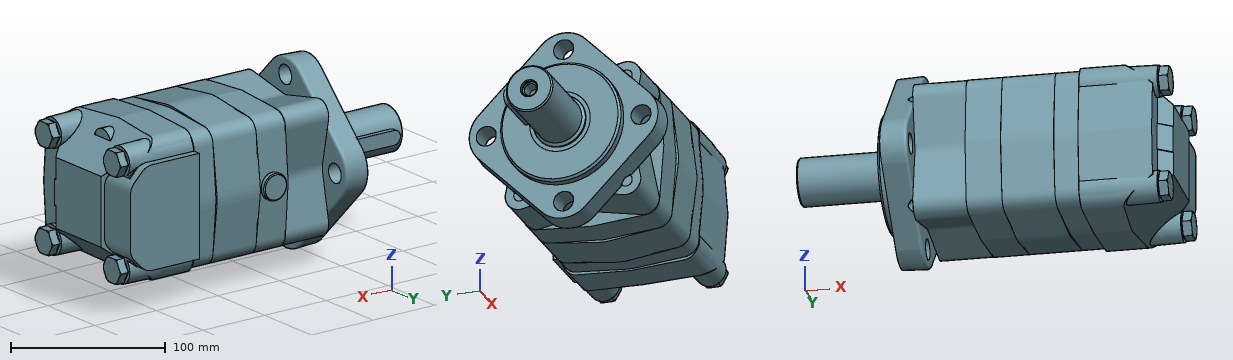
import cadquery as cq
import math

SHAFT_SHOULDER_X = 56.2
COLLAR_X = 57.8
PILOT_X = 59.0
FLANGE_X = 65.8
HOUSING_X = 83.7
HOUSING_STEP_X = 119.0
GEAR_SET_X = 142.7
PLATE_X = 177.8
COVER_X = 193.7
COVER_SLOPE_X = 218.7
COVER_SIDE_END_X = 242.4
BOSS_END_X = 245.5
COVER_END_X = 251.5
MOTOR_END_X = 252.2

BOLT_OFFSET = 36.5
BOLT_DIA = 8.3
CORNER_RADIUS = 10.3
HOUSING_CORNER_RADIUS = 10.0

HOUSING_VALLEY_TILT = -11.5
HOUSING_RIDGE_TILT = 4.4
GEAR_SET_TILT = 7.2
PLATE_TILT = 5.0
VALLEY_BLEND = 2.8
RIDGE_BLEND = 4.8

FLANGE_DIAGONAL = 131.5
FLANGE_TIP_RADIUS = 22.0
FLANGE_DRAFT = 2.5
FLANGE_EDGE_ROUND = 2.0
FLANGE_HOLE_DIA = 13.5
FLANGE_HOLE_RADIUS = 53.2
PILOT_DIA = 82.7
PILOT_CHAMFER = 1.5
DRILL_POINT_X = 78.2
DRILL_SHOULDER_X = 81.2

DRAIN_DIA = 18.7
DRAIN_X = 131.5
DRAIN_TOP = 53.0
DRAIN_CHAMFER = 0.8

SHAFT_DIA = 32.0
SHAFT_CHAMFER = 1.0
COLLAR_DIA = 35.8
JOURNAL_DIA = 41.5
CENTER_HOLE_DIA = 8.3
CENTER_MOUTH_DIA = 11.9
CENTER_SINK_DIA = 10.5
CENTER_MOUTH_DEPTH = 0.8
CENTER_SINK_DEPTH = 2.5
CENTER_HOLE_DEPTH = 12.5
DRILL_POINT_ANGLE = 118.0
KEY_WIDTH = 10.0
KEY_START_X = 4.8
KEY_LENGTH = 45.0
KEY_BOTTOM = 11.0
KEY_TOP = 19.2

COVER_TOP = 51.2
COVER_SIDE = 49.5
COVER_CORNER_Y = 45.6
COVER_CORNER_Z = 48.5
COVER_ROUND = 10.0
COVER_END_HALF = 24.2
COVER_SLOPE = (COVER_TOP - COVER_END_HALF) / (COVER_END_X - COVER_SLOPE_X)
BOSS_DIA = 22.0
BOSS_END_DIA = 21.0
PORT_FACE_Y = 53.2
PORT_HALF_WIDTH = 36.0
PORT_CORNER_X = 236.8
PORT_END_X = 249.7
PORT_END_HALF = PORT_HALF_WIDTH - (PORT_END_X - PORT_CORNER_X)
PORT_ROUND = 12.5

BUMP_DIA = 18.0
BUMP_END_X = 232.0
BUMP_AXIS_Z = 37.3
RIB_WIDTH = BUMP_DIA
RIB_HEIGHT = 1.3

HEAD_FLATS = 17.0
HEAD_START_X = 246.0
BOLT_COLLAR_DIA = 16.0
HEAD_CHAMFER = 0.8

BOLT_CENTERS = [(y * BOLT_OFFSET, z * BOLT_OFFSET) for y in (-1, 1) for z in (-1, 1)]


def across(x):
    """Sketch plane square to the axis at x: sketch x is Y, sketch y is Z."""
    return cq.Workplane("YZ", origin=(x, 0, 0))


def cylinder(start_x, end_x, diameter):
    return across(start_x).circle(diameter / 2).extrude(end_x - start_x)


def turned(points):
    """Solid of revolution about the X axis from (x, radius) points."""
    return cq.Workplane("XY").polyline(points).close().revolve(360, (0, 0, 0), (1, 0, 0))


def quarter_turns(point, turns):
    y, z = point
    for _ in range(turns):
        y, z = -z, y
    return y, z


def body_block(start_x, end_x, tilt, blend, corner_radius=CORNER_RADIUS):
    """Square block with round corners whose four sides rise to a ridge or sink to a valley."""
    angle = math.radians(tilt)
    tangent = (
        BOLT_OFFSET + corner_radius * math.sin(angle),
        BOLT_OFFSET + corner_radius * math.cos(angle),
    )
    apex = tangent[1] + tangent[0] * math.tan(angle)
    blend_z = apex - blend * math.tan(angle)
    blend_mid = blend_z + blend * math.tan(angle / 2)
    corner_mid = BOLT_OFFSET + corner_radius / math.sqrt(2)

    outline = across(start_x).moveTo(*tangent)
    for side in range(4):
        if blend:
            outline = outline.lineTo(*quarter_turns((blend, blend_z), side))
            outline = outline.threePointArc(
                quarter_turns((0, blend_mid), side), quarter_turns((-blend, blend_z), side)
            )
        else:
            outline = outline.lineTo(*quarter_turns((0, apex), side))
        outline = outline.lineTo(*quarter_turns((-tangent[0], tangent[1]), side))
        outline = outline.threePointArc(
            quarter_turns((-corner_mid, corner_mid), side), quarter_turns(tangent, side + 1)
        )
    return outline.close().extrude(end_x - start_x)


def bolt_holes(start_x, end_x):
    return across(start_x).pushPoints(BOLT_CENTERS).circle(BOLT_DIA / 2).extrude(end_x - start_x)


def mounting_flange():
    """Drafted diamond plate with round tips, built forward from its rear face."""
    tip_center = FLANGE_DIAGONAL / 2 - FLANGE_TIP_RADIUS
    half_side = tip_center / math.sqrt(2) + FLANGE_TIP_RADIUS
    plate = (
        across(HOUSING_X)
        .transformed(rotate=(0, 0, 45))
        .sketch()
        .rect(2 * half_side, 2 * half_side)
        .vertices()
        .fillet(FLANGE_TIP_RADIUS)
        .finalize()
        .extrude(FLANGE_X - HOUSING_X, taper=FLANGE_DRAFT)
    )
    plate = plate.faces(">X").edges().fillet(FLANGE_EDGE_ROUND)
    holes = (
        across(FLANGE_X)
        .polarArray(FLANGE_HOLE_RADIUS, 0, 360, 4)
        .circle(FLANGE_HOLE_DIA / 2)
        .extrude(HOUSING_X - FLANGE_X)
    )
    return plate.cut(holes)


def drill_points():
    """Pointed ends of the bolt holes, which break out through the flange edges."""
    radius = BOLT_DIA / 2
    point = turned(
        [(DRILL_POINT_X, 0), (DRILL_SHOULDER_X, radius), (HOUSING_X, radius), (HOUSING_X, 0)]
    )
    points = cq.Workplane("XY")
    for y, z in BOLT_CENTERS:
        points = points.add(point.translate((0, y, z)))
    return points.combine()


def drain_boss():
    boss = (
        cq.Workplane("XZ", origin=(DRAIN_X, 0, 0))
        .workplane(offset=-DRAIN_TOP)
        .circle(DRAIN_DIA / 2)
        .extrude(DRAIN_TOP - BOLT_OFFSET)
    )
    return boss.faces(">Y").chamfer(DRAIN_CHAMFER)


def make_housing():
    pilot = cylinder(PILOT_X, FLANGE_X, PILOT_DIA).faces("<X").chamfer(PILOT_CHAMFER)
    neck = body_block(
        HOUSING_X, HOUSING_STEP_X, HOUSING_VALLEY_TILT, VALLEY_BLEND, HOUSING_CORNER_RADIUS
    )
    housing = (
        mounting_flange()
        .union(pilot)
        .union(neck)
        .union(body_block(HOUSING_STEP_X, GEAR_SET_X, HOUSING_RIDGE_TILT, 0))
        .union(drain_boss())
    )
    journal_bore = cylinder(PILOT_X, HOUSING_X, JOURNAL_DIA)
    return housing.cut(journal_bore).cut(drill_points()).cut(bolt_holes(HOUSING_X, GEAR_SET_X))


def make_key():
    return (
        cq.Workplane("XZ", origin=(KEY_START_X + KEY_LENGTH / 2, KEY_BOTTOM, 0))
        .slot2D(KEY_LENGTH, KEY_WIDTH)
        .extrude(KEY_BOTTOM - KEY_TOP)
    )


def make_shaft(key):
    radius = SHAFT_DIA / 2
    shaft = turned(
        [
            (0, 0),
            (0, radius - SHAFT_CHAMFER),
            (SHAFT_CHAMFER, radius),
            (SHAFT_SHOULDER_X, radius),
            (COLLAR_X, COLLAR_DIA / 2),
            (PILOT_X, COLLAR_DIA / 2),
            (PILOT_X, JOURNAL_DIA / 2),
            (HOUSING_X, JOURNAL_DIA / 2),
            (HOUSING_X, 0),
        ]
    )
    hole_radius = CENTER_HOLE_DIA / 2
    point_length = hole_radius / math.tan(math.radians(DRILL_POINT_ANGLE / 2))
    center_hole = turned(
        [
            (0, 0),
            (0, CENTER_MOUTH_DIA / 2),
            (CENTER_MOUTH_DEPTH, CENTER_SINK_DIA / 2),
            (CENTER_SINK_DEPTH, CENTER_SINK_DIA / 2),
            (CENTER_SINK_DEPTH, hole_radius),
            (CENTER_HOLE_DEPTH, hole_radius),
            (CENTER_HOLE_DEPTH + point_length, 0),
        ]
    )
    return shaft.cut(center_hole).cut(key)


def make_gear_set():
    block = body_block(GEAR_SET_X, PLATE_X, GEAR_SET_TILT, RIDGE_BLEND)
    return block.cut(bolt_holes(GEAR_SET_X, PLATE_X))


def make_plate():
    block = body_block(PLATE_X, COVER_X, PLATE_TILT, RIDGE_BLEND)
    return block.cut(bolt_holes(PLATE_X, COVER_X))


def side_slope(start_x, height, half_width):
    """Band of the given height lying on the slope of the -Y side, from start_x to the end."""
    start_y = COVER_END_HALF + COVER_SLOPE * (COVER_END_X - start_x)
    return (
        cq.Workplane("XY")
        .polyline(
            [
                (start_x, -start_y),
                (COVER_END_X, -COVER_END_HALF),
                (COVER_END_X, -COVER_END_HALF - height),
                (start_x, -start_y - height),
            ]
        )
        .close()
        .extrude(half_width, both=True)
    )


def cover_core():
    """Ridged block that slopes in on all four sides toward a smaller end face."""
    block = (
        across(COVER_X)
        .polyline(
            [
                (0, COVER_TOP),
                (COVER_CORNER_Y, COVER_CORNER_Z),
                (COVER_SIDE, 0),
                (COVER_CORNER_Y, -COVER_CORNER_Z),
                (0, -COVER_TOP),
                (-COVER_CORNER_Y, -COVER_CORNER_Z),
                (-COVER_SIDE, 0),
                (-COVER_CORNER_Y, COVER_CORNER_Z),
            ]
        )
        .close()
        .extrude(COVER_END_X - COVER_X)
    )
    for y in (-COVER_CORNER_Y, COVER_CORNER_Y):
        for z in (-COVER_CORNER_Z, COVER_CORNER_Z):
            corner = cq.selectors.NearestToPointSelector(((COVER_X + COVER_END_X) / 2, y, z))
            block = block.edges("|X").edges(corner).fillet(COVER_ROUND)

    slopes = (
        cq.Workplane("XZ")
        .polyline(
            [
                (COVER_X, -COVER_TOP),
                (COVER_SLOPE_X, -COVER_TOP),
                (COVER_END_X, -COVER_END_HALF),
                (COVER_END_X, COVER_END_HALF),
                (COVER_SLOPE_X, COVER_TOP),
                (COVER_X, COVER_TOP),
            ]
        )
        .close()
        .extrude(COVER_SIDE, both=True)
    )
    near_cut = side_slope(COVER_SIDE_END_X, COVER_SIDE, COVER_TOP)
    far_cut = side_slope(BOSS_END_X, COVER_SIDE, COVER_TOP).mirror("XZ")
    return block.intersect(slopes).cut(near_cut).cut(far_cut)


def cover_boss():
    """Bolt boss on the X axis: straight along the block, then tapered to its free end."""
    return turned(
        [
            (COVER_X, 0),
            (COVER_X, BOSS_DIA / 2),
            (COVER_SLOPE_X, BOSS_DIA / 2),
            (BOSS_END_X, BOSS_END_DIA / 2),
            (BOSS_END_X, 0),
        ]
    )


def port_pad():
    """Raised flat on the +Y side that carries the ports."""
    pad = (
        cq.Workplane("XZ")
        .polyline(
            [
                (COVER_X, -PORT_HALF_WIDTH),
                (PORT_CORNER_X, -PORT_HALF_WIDTH),
                (PORT_END_X, -PORT_END_HALF),
                (PORT_END_X, PORT_END_HALF),
                (PORT_CORNER_X, PORT_HALF_WIDTH),
                (COVER_X, PORT_HALF_WIDTH),
            ]
        )
        .close()
        .extrude(-PORT_FACE_Y)
    )
    return pad.edges("|Y").edges("not <X").fillet(PORT_ROUND)


def make_cover():
    cover = cover_core().union(port_pad())
    for y, z in BOLT_CENTERS:
        cover = cover.union(cover_boss().translate((0, y, z)))
    bump = cylinder(COVER_SLOPE_X, BUMP_END_X, BUMP_DIA).translate((0, 0, BUMP_AXIS_Z))
    rib = side_slope(COVER_SIDE_END_X, RIB_HEIGHT, RIB_WIDTH / 2)
    return cover.union(bump).union(rib).cut(bolt_holes(COVER_X, BOSS_END_X))


def make_bolt(y, z):
    """Through bolt with a hex head that points two corners along Y."""
    shank = cylinder(HOUSING_X, HEAD_START_X, BOLT_DIA)
    collar = cylinder(BOSS_END_X, HEAD_START_X, BOLT_COLLAR_DIA)
    corner_dia = HEAD_FLATS / math.cos(math.pi / 6)
    head = across(HEAD_START_X).polygon(6, corner_dia).extrude(MOTOR_END_X - HEAD_START_X)
    rounding = cylinder(HEAD_START_X, MOTOR_END_X, corner_dia).faces(">X").chamfer(HEAD_CHAMFER)
    return shank.union(collar).union(head.intersect(rounding)).translate((0, y, z))


housing = make_housing()
key = make_key()
shaft = make_shaft(key)
gear_set = make_gear_set()
plate = make_plate()
cover = make_cover()
bolts = [make_bolt(y, z).val() for y, z in BOLT_CENTERS]

result = cq.Compound.makeCompound(
    [housing.val(), shaft.val(), key.val(), gear_set.val(), plate.val(), cover.val(), *bolts]
)